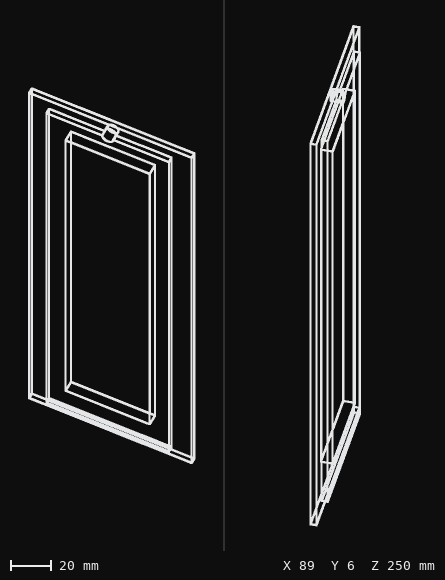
import cadquery as cq

plate_width = 89.0
plate_height = 250.0
plate_thickness = 3.0

panel_width = 67.0
panel_height = 237.0
panel_thickness = 3.0

window_width = 46.0
window_height = 205.0

hole_diameter = 6.0
hole_height = panel_height / 2

total_thickness = plate_thickness + panel_thickness
back_y = total_thickness / 2
joint_y = back_y - plate_thickness


def slab(width, height, thickness, rear_y):
    """Rectangular slab centred in X and Z, running forward from rear_y."""
    return (
        cq.Workplane("XZ", origin=(0, rear_y, 0))
        .rect(width, height)
        .extrude(thickness)
    )


plate = slab(plate_width, plate_height, plate_thickness, back_y)
panel = slab(panel_width, panel_height, panel_thickness, joint_y)
window = slab(window_width, window_height, total_thickness, back_y)
hanging_hole = (
    cq.Workplane("XZ", origin=(0, back_y, hole_height))
    .circle(hole_diameter / 2)
    .extrude(total_thickness)
)

result = plate.union(panel).cut(window).cut(hanging_hole)